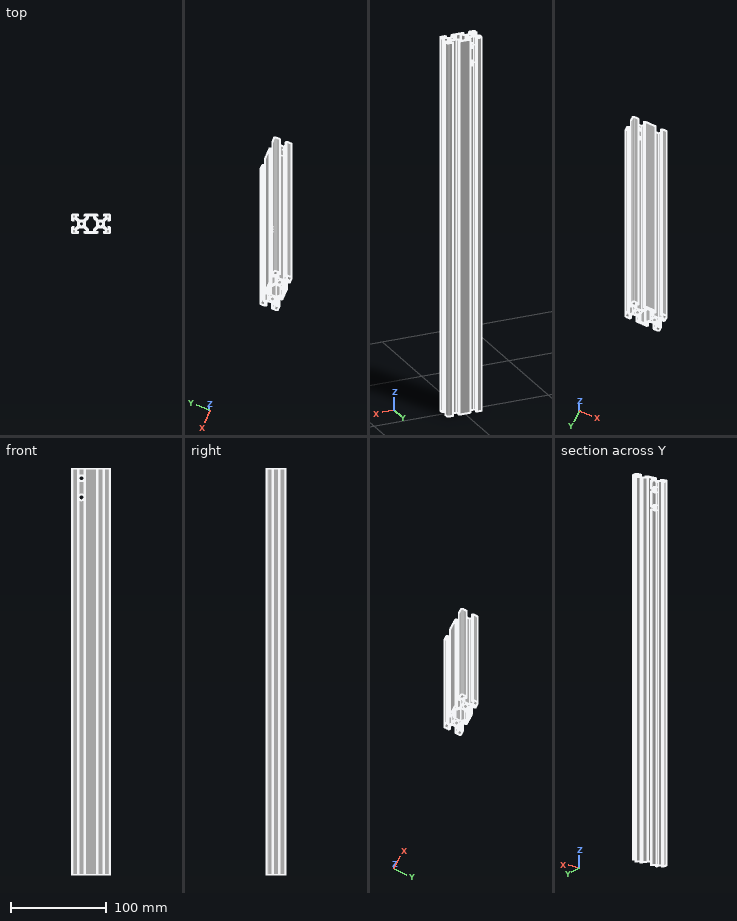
import cadquery as cq

WIDTH = 40.0
DEPTH = 20.0
LENGTH = 425.0
CORNER_RADIUS = 1.5
CELL_OFFSET = WIDTH / 4

OPENING_HALF = 3.1
MOUTH_CHAMFER = 0.8
LIP_THICKNESS = 1.8
POCKET_HALF = 5.5
CORE_HALF = 3.9
WEB_THICKNESS = 1.5
WEB_HALF_STEP = WEB_THICKNESS / 2 * 2**0.5

CAVITY_HALF_WIDTH = CELL_OFFSET - CORE_HALF
CAVITY_NECK_HALF = 2.8
CAVITY_HALF_HEIGHT = DEPTH / 2 - LIP_THICKNESS

CORE_BORE_DIAMETER = 5.0

CROSS_HOLE_DIAMETER = 6.0
CROSS_HOLE_DROPS = (10.0, 30.0)


def prism(points):
    """Full-length prism over a closed polygon in the XY plane."""
    return cq.Workplane("XY").polyline(points).close().extrude(LENGTH)


def t_slot():
    """Slot opening toward +Y around a cell centre, with chamfered mouth edges."""
    face = DEPTH / 2
    lip = face - LIP_THICKNESS
    floor_half = CORE_HALF - WEB_HALF_STEP
    shoulder = POCKET_HALF + WEB_HALF_STEP
    return prism([
        (-OPENING_HALF - MOUTH_CHAMFER, face),
        (-OPENING_HALF, face - MOUTH_CHAMFER),
        (-OPENING_HALF, lip),
        (-POCKET_HALF, lip),
        (-POCKET_HALF, shoulder),
        (-floor_half, CORE_HALF),
        (floor_half, CORE_HALF),
        (POCKET_HALF, shoulder),
        (POCKET_HALF, lip),
        (OPENING_HALF, lip),
        (OPENING_HALF, face - MOUTH_CHAMFER),
        (OPENING_HALF + MOUTH_CHAMFER, face),
    ])


def side_slots():
    """The four slots on the two wide faces."""
    slot = t_slot().translate((-CELL_OFFSET, 0, 0))
    pair = slot.union(slot.mirror("YZ"))
    return pair.union(pair.mirror("XZ"))


def end_slots():
    """The two slots on the narrow faces."""
    slot = t_slot().rotate((0, 0, 0), (0, 0, 1), 90).translate((-CELL_OFFSET, 0, 0))
    return slot.union(slot.mirror("YZ"))


def central_cavity():
    """Hollow between the cores, bounded by the diagonal webs and the two outer ribs."""
    web_start = CELL_OFFSET - CAVITY_HALF_WIDTH - WEB_HALF_STEP
    web_end = CELL_OFFSET - CAVITY_NECK_HALF - WEB_HALF_STEP
    quarter = [
        (CAVITY_HALF_WIDTH, web_start),
        (CAVITY_NECK_HALF, web_end),
        (CAVITY_NECK_HALF, CAVITY_HALF_HEIGHT),
    ]
    upper = quarter + [(-x, y) for x, y in reversed(quarter)]
    lower = [(-x, -y) for x, y in upper]
    return prism(upper + lower)


def core_bores():
    """Round bores along the full length of both cores."""
    centres = [(-CELL_OFFSET, 0), (CELL_OFFSET, 0)]
    return cq.Workplane("XY").pushPoints(centres).circle(CORE_BORE_DIAMETER / 2).extrude(LENGTH)


def cross_holes():
    """Holes along Y, right through the left-hand cell near the top end."""
    centres = [(-CELL_OFFSET, LENGTH - drop) for drop in CROSS_HOLE_DROPS]
    holes = cq.Workplane("XZ").pushPoints(centres).circle(CROSS_HOLE_DIAMETER / 2)
    return holes.extrude(DEPTH / 2, both=True)


bar = cq.Workplane("XY").rect(WIDTH, DEPTH).extrude(LENGTH).edges("|Z").fillet(CORNER_RADIUS)
result = (
    bar.cut(side_slots())
    .cut(end_slots())
    .cut(central_cavity())
    .cut(core_bores())
    .cut(cross_holes())
)